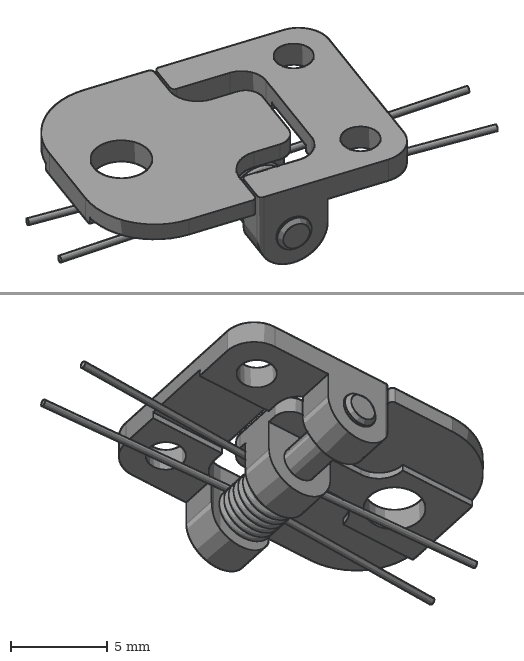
import cadquery as cq
import math


width = 12.29
plate_top = 2.9
plate_bottom = 1.5
knuckle_radius = 2.0
knuckle_width = 2.05
thin_thickness = 1.0
edge_radius = 0.25
half_width = width / 2
plate_thickness = plate_top - plate_bottom

pin_length = 13.0
pin_diameter = 2.0
pin_chamfer = 0.23

frame_end_y = 7.25
frame_corner_radius = 1.75
window_end_y = 2.75
window_radius = 1.4
window_half_width = half_width - knuckle_width
frame_hole_diameter = 2.1
frame_hole_x = 3.93
frame_hole_y = 4.97
frame_channel_width = 4.03

leaf_gap = 0.13
shoulder_y = -knuckle_radius - leaf_gap
tongue_end_y = -10.07
tongue_corner_radius = 4.0
tongue_half_width = 2.5
tongue_tip_y = 2.0
tongue_tip_radius = 1.0
tongue_root_radius = window_half_width - tongue_half_width
tongue_hole_diameter = 3.2
tongue_hole_y = -6.93
pad_half_width = 2.57
pad_start_y = -5.53

wire_diameter = 0.38
coil_radius = 1.45
leg_height = 1.3
coil_pitch = 0.4
coil_turns = 6
coil_start_x = 1.33
left_leg_reach = 12.75
right_leg_reach = 12.65
coil_length = coil_pitch * coil_turns
coil_end_x = coil_start_x + coil_length
coil_middle_x = coil_start_x + coil_length / 2
coil_axis_z = leg_height - coil_radius
wire_radius = wire_diameter / 2
helix_angle = math.atan(coil_pitch / (2 * math.pi * coil_radius))


def knuckle_profile():
    """Round-bottomed lug outline in the YZ plane, up to the plate top."""
    return (
        cq.Workplane("YZ")
        .moveTo(-knuckle_radius, plate_top)
        .lineTo(-knuckle_radius, 0)
        .threePointArc((0, -knuckle_radius), (knuckle_radius, 0))
        .lineTo(knuckle_radius, plate_top)
        .close()
    )


def pin_cylinder():
    return cq.Workplane("YZ").circle(pin_diameter / 2).extrude(pin_length / 2, both=True)


def make_pin():
    return pin_cylinder().faces("<X or >X").chamfer(pin_chamfer)


def frame_plan():
    """U-shaped plan of the frame leaf, as deep as the whole hinge."""
    depth = plate_top + knuckle_radius
    base = cq.Workplane("XY").workplane(offset=-knuckle_radius)
    outer = (
        base.center(0, (frame_end_y - knuckle_radius) / 2)
        .rect(width, frame_end_y + knuckle_radius)
        .extrude(depth)
        .edges("|Z and >Y")
        .fillet(frame_corner_radius)
    )
    window = (
        base.center(0, (window_end_y - knuckle_radius) / 2)
        .rect(2 * window_half_width, window_end_y + knuckle_radius)
        .extrude(depth)
        .edges("|Z and >Y")
        .fillet(window_radius)
    )
    return outer.cut(window).edges("|Z and <Y").fillet(edge_radius)


def make_frame(springs):
    plate = (
        cq.Workplane("XY")
        .workplane(offset=plate_bottom)
        .center(0, (frame_end_y - knuckle_radius) / 2)
        .rect(width, frame_end_y + knuckle_radius)
        .extrude(plate_thickness)
    )
    lugs = knuckle_profile().extrude(half_width, both=True)
    frame = frame_plan().intersect(plate.union(lugs))
    holes = (
        cq.Workplane("XY")
        .pushPoints([(-frame_hole_x, frame_hole_y), (frame_hole_x, frame_hole_y)])
        .circle(frame_hole_diameter / 2)
        .extrude(plate_top)
    )
    channel = (
        cq.Workplane("XY")
        .workplane(offset=plate_bottom)
        .center(0, (frame_end_y + window_end_y) / 2)
        .rect(frame_channel_width, frame_end_y - window_end_y)
        .extrude(plate_thickness - thin_thickness)
    )
    frame = frame.cut(holes).cut(channel).cut(pin_cylinder())
    for spring in springs:
        frame = frame.cut(spring)
    return frame


def tongue_plate():
    base = cq.Workplane("XY").workplane(offset=plate_bottom)
    body = (
        base.center(0, (shoulder_y + tongue_end_y) / 2)
        .rect(width, shoulder_y - tongue_end_y)
        .extrude(plate_thickness)
        .edges("|Z and <Y")
        .fillet(tongue_corner_radius)
        .edges("|Z and >Y")
        .fillet(edge_radius)
    )
    tip = (
        base.center(0, (tongue_tip_y + shoulder_y) / 2)
        .rect(2 * tongue_half_width, tongue_tip_y - shoulder_y)
        .extrude(plate_thickness)
        .edges("|Z and >Y")
        .fillet(tongue_tip_radius)
    )
    plate = body.union(tip)
    root_corners = cq.selectors.BoxSelector(
        (-tongue_half_width - edge_radius, shoulder_y - edge_radius, plate_bottom),
        (tongue_half_width + edge_radius, shoulder_y + edge_radius, plate_top),
    )
    return plate.edges("|Z").edges(root_corners).fillet(tongue_root_radius)


def underside_pocket(side):
    """Shallow pocket beside the stem and the wider pad; side is -1 or 1."""
    stem_x = side * knuckle_width / 2
    pad_x = side * pad_half_width
    fillet_radius = pad_half_width - knuckle_width / 2
    fillet_mid = fillet_radius * (1 - math.sqrt(0.5))
    return (
        cq.Workplane("XY")
        .workplane(offset=plate_bottom)
        .moveTo(stem_x, tongue_tip_y)
        .lineTo(stem_x, pad_start_y + fillet_radius)
        .threePointArc((stem_x + side * fillet_mid, pad_start_y + fillet_mid), (pad_x, pad_start_y))
        .lineTo(pad_x, tongue_end_y)
        .lineTo(side * half_width, tongue_end_y)
        .lineTo(side * half_width, tongue_tip_y)
        .close()
        .extrude(plate_thickness - thin_thickness)
    )


def make_tongue():
    tongue = tongue_plate()
    for side in (-1, 1):
        tongue = tongue.cut(underside_pocket(side))
    tongue = tongue.union(knuckle_profile().extrude(knuckle_width / 2, both=True))
    hole = (
        cq.Workplane("XY").center(0, tongue_hole_y).circle(tongue_hole_diameter / 2).extrude(plate_top)
    )
    return tongue.cut(hole).cut(pin_cylinder())


def spring_leg(start_x, x_side, y_side, reach):
    """Straight wire leaving the top of the coil along its tangent."""
    direction = cq.Vector(x_side * math.sin(helix_angle), y_side * math.cos(helix_angle), 0)
    length = (reach - wire_radius * math.sin(helix_angle)) / math.cos(helix_angle)
    return cq.Solid.makeCylinder(wire_radius, length, cq.Vector(start_x, 0, leg_height), direction)


def half_coil(start_x):
    """Half of the turns, starting and ending at the top of the coil."""
    helix = cq.Wire.makeHelix(coil_pitch, coil_length / 2, coil_radius)
    helix = helix.rotate(cq.Vector(0, 0, 0), cq.Vector(0, 1, 0), 90)
    helix = helix.rotate(cq.Vector(0, 0, 0), cq.Vector(1, 0, 0), 180)
    helix = helix.translate(cq.Vector(start_x, 0, coil_axis_z))
    start = cq.Vector(start_x, 0, leg_height)
    section = cq.Workplane(cq.Plane(start, (1, 0, 0), helix.tangentAt(0))).circle(wire_radius)
    return section.sweep(cq.Workplane(obj=helix), isFrenet=True)


def make_spring(coil_x, leg_x, x_side, reach):
    """Spring with a leg toward each leaf, both leaving the outer end of its coil."""
    spring = half_coil(coil_x)
    for y_side in (-1, 1):
        spring = spring.union(spring_leg(leg_x, x_side, y_side, reach))
    return spring


springs = [
    make_spring(coil_start_x, coil_start_x, -1, left_leg_reach),
    make_spring(coil_middle_x, coil_end_x, 1, right_leg_reach),
]
pin = make_pin()
frame = make_frame(springs)
tongue = make_tongue()

result = cq.Compound.makeCompound(
    [frame.val(), tongue.val(), pin.val(), *[spring.val() for spring in springs]]
)